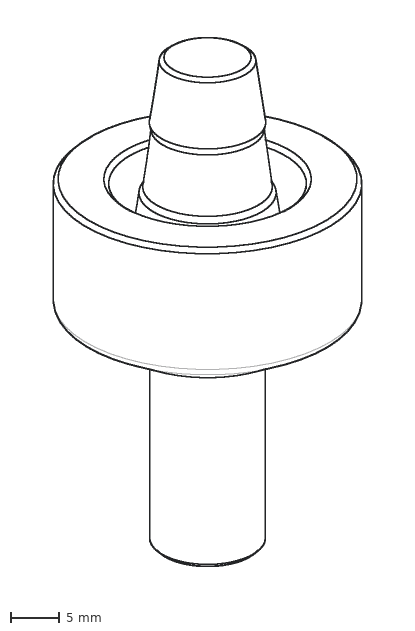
import cadquery as cq
import math

total_height = 56.45
edge_chamfer = 0.5

shank_radius = 12.0 / 2

body_radius = 32.0 / 2
body_bottom = 24.3
body_top = 42.3
underside_radius = 10.0
underside_slope = math.radians(30)
corner_fillet = 1.0

recess_radius = 20.5 / 2
recess_floor = 32.75

pin_root_radius = 16.0 / 2
root_top = 35.0
ledge_bottom = 40.7
ledge_top = 41.4
ledge_outer_radius = 7.1
ledge_inner_radius = 6.7
neck_bottom = 48.1
neck_top = 48.9
neck_radius = 5.85
collar_radius = 6.05
tip_radius = 5.0
tip_chamfer_height = 0.4


def make_body():
    """Solid of revolution: conical underside, rounded corner, chamfered rim and open recess."""
    corner_z = body_bottom + (body_radius - underside_radius) * math.tan(underside_slope)
    corner_turn = math.pi / 2 - underside_slope
    tangent_length = corner_fillet * math.tan(corner_turn / 2)
    cone_end = (
        body_radius - tangent_length * math.cos(underside_slope),
        corner_z - tangent_length * math.sin(underside_slope),
    )
    wall_start = (body_radius, corner_z + tangent_length)
    middle_angle = corner_turn / 2
    fillet_middle = (
        body_radius - corner_fillet * (1 - math.cos(middle_angle)),
        wall_start[1] - corner_fillet * math.sin(middle_angle),
    )
    return (
        cq.Workplane("XZ")
        .moveTo(0, body_bottom)
        .lineTo(underside_radius, body_bottom)
        .lineTo(*cone_end)
        .threePointArc(fillet_middle, wall_start)
        .lineTo(body_radius, body_top - edge_chamfer)
        .lineTo(body_radius - edge_chamfer, body_top)
        .lineTo(recess_radius + edge_chamfer, body_top)
        .lineTo(recess_radius, body_top - edge_chamfer)
        .lineTo(recess_radius, recess_floor)
        .lineTo(0, recess_floor)
        .close()
        .revolve(360, (0, 0, 0), (0, 1, 0))
    )


def make_shank():
    """Straight cylinder below the body with a chamfered free end."""
    shank = cq.Workplane("XY").circle(shank_radius).extrude(body_bottom)
    return shank.faces("<Z").chamfer(edge_chamfer)


def make_pin():
    """Stepped taper on a short cylindrical root, standing on the recess floor."""
    outline = [
        (0, recess_floor),
        (pin_root_radius, recess_floor),
        (pin_root_radius, root_top),
        (ledge_outer_radius, ledge_bottom),
        (ledge_inner_radius, ledge_top),
        (neck_radius, neck_bottom),
        (collar_radius, neck_top),
        (tip_radius, total_height - tip_chamfer_height),
        (tip_radius - edge_chamfer, total_height),
        (0, total_height),
    ]
    return cq.Workplane("XZ").polyline(outline).close().revolve(360, (0, 0, 0), (0, 1, 0))


result = make_body().union(make_shank()).union(make_pin())